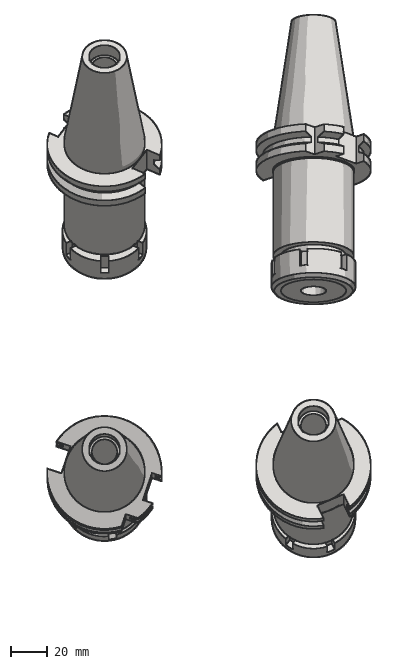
import cadquery as cq
import math

TOTAL_HEIGHT = 158.4

GAUGE_Z = 90.0
GAUGE_RADIUS = 22.3
TAPER_RATIO = 7 / 24
TAPER_TOP_RADIUS = GAUGE_RADIUS - (TOTAL_HEIGHT - GAUGE_Z) * TAPER_RATIO / 2

FLANGE_DIAMETER = 63.5
FLANGE_RADIUS = FLANGE_DIAMETER / 2
FLANGE_TOP = 86.8
FLANGE_BOTTOM = 70.8
GROOVE_RADIUS = 28.0
GROOVE_CENTER_Z = 78.9
GROOVE_FLOOR_WIDTH = 3.0
GROOVE_FLANK_ANGLE = 30.0
GROOVE_FLANK_RISE = (FLANGE_RADIUS - GROOVE_RADIUS) * math.tan(math.radians(GROOVE_FLANK_ANGLE))

KEY_SLOT_WIDTH = 16.0
KEY_SLOT_FLOOR_LEFT = 25.0
KEY_SLOT_FLOOR_RIGHT = 22.5
NOTCH_OFFSET = 18.5

SHANK_RADIUS = GAUGE_RADIUS
SHANK_BOTTOM = 20.6
COLLAR_RADIUS = 22.7
COLLAR_HEIGHT = 0.8
NECK_RADIUS = 18.0

BORE_RADIUS = 7.0
COUNTERBORE_RADIUS = 8.5
COUNTERBORE_DEPTH = 8.2

NUT_RADIUS = 23.3
NUT_HEIGHT = 16.3
NUT_FACE_RADIUS = 21.7
NUT_CHAMFER_HEIGHT = 2.0
NUT_SLOT_COUNT = 6
NUT_SLOT_WIDTH = 4.5
NUT_SLOT_BOTTOM = 6.8
NUT_SLOT_FLOOR_RADIUS = 19.5


def box_between(x_range, y_range, z_range):
    """Box spanning the given (low, high) ranges."""
    (x0, x1), (y0, y1), (z0, z1) = x_range, y_range, z_range
    return cq.Workplane("XY").box(x1 - x0, y1 - y0, z1 - z0, centered=False).translate((x0, y0, z0))


def revolve_profile(points):
    """Solid of revolution about Z from a closed (radius, z) outline."""
    return cq.Workplane("XZ").polyline(points).close().revolve(360, (0, 0, 0), (0, 1, 0))


def holder_blank():
    """Turned holder: neck, shank, grooved flange and taper, still without its bore."""
    floor_low = GROOVE_CENTER_Z - GROOVE_FLOOR_WIDTH / 2
    floor_high = GROOVE_CENTER_Z + GROOVE_FLOOR_WIDTH / 2
    return revolve_profile([
        (0, 0),
        (NECK_RADIUS, 0),
        (NECK_RADIUS, SHANK_BOTTOM),
        (SHANK_RADIUS, SHANK_BOTTOM),
        (SHANK_RADIUS, FLANGE_BOTTOM - COLLAR_HEIGHT),
        (COLLAR_RADIUS, FLANGE_BOTTOM),
        (FLANGE_RADIUS, FLANGE_BOTTOM),
        (FLANGE_RADIUS, floor_low - GROOVE_FLANK_RISE),
        (GROOVE_RADIUS, floor_low),
        (GROOVE_RADIUS, floor_high),
        (FLANGE_RADIUS, floor_high + GROOVE_FLANK_RISE),
        (FLANGE_RADIUS, FLANGE_TOP),
        (GAUGE_RADIUS, FLANGE_TOP),
        (GAUGE_RADIUS, GAUGE_Z),
        (TAPER_TOP_RADIUS, TOTAL_HEIGHT),
        (0, TOTAL_HEIGHT),
    ])


def flange_cutouts():
    """Two drive-key slots of different depth and the square orientation notch."""
    flange_z = (FLANGE_BOTTOM, FLANGE_TOP)
    slot_y = (-KEY_SLOT_WIDTH / 2, KEY_SLOT_WIDTH / 2)
    left_slot = box_between((-FLANGE_RADIUS, -KEY_SLOT_FLOOR_LEFT), slot_y, flange_z)
    right_slot = box_between((KEY_SLOT_FLOOR_RIGHT, FLANGE_RADIUS), slot_y, flange_z)
    notch = box_between((-FLANGE_RADIUS, -NOTCH_OFFSET), (NOTCH_OFFSET, FLANGE_RADIUS), flange_z)
    return left_slot.union(right_slot).union(notch)


def holder_bore():
    """Through bore with a counterbore at the small end of the taper."""
    bore = cq.Workplane("XY").circle(BORE_RADIUS).extrude(TOTAL_HEIGHT)
    counterbore = (
        cq.Workplane("XY", origin=(0, 0, TOTAL_HEIGHT - COUNTERBORE_DEPTH))
        .circle(COUNTERBORE_RADIUS)
        .extrude(COUNTERBORE_DEPTH)
    )
    return bore.union(counterbore)


def make_holder():
    return holder_blank().cut(flange_cutouts()).cut(holder_bore())


def make_nut():
    """Ring around the neck, chamfered at the front, with wrench slots open at the rear face."""
    nut = revolve_profile([
        (NECK_RADIUS, 0),
        (NUT_FACE_RADIUS, 0),
        (NUT_RADIUS, NUT_CHAMFER_HEIGHT),
        (NUT_RADIUS, NUT_HEIGHT),
        (NECK_RADIUS, NUT_HEIGHT),
    ])
    wrench_slot = box_between(
        (NUT_SLOT_FLOOR_RADIUS, NUT_RADIUS),
        (-NUT_SLOT_WIDTH / 2, NUT_SLOT_WIDTH / 2),
        (NUT_SLOT_BOTTOM, NUT_HEIGHT),
    )
    for index in range(NUT_SLOT_COUNT):
        angle = index * 360 / NUT_SLOT_COUNT
        nut = nut.cut(wrench_slot.rotate((0, 0, 0), (0, 0, 1), angle))
    return nut


holder = make_holder()
nut = make_nut()

result = cq.Compound.makeCompound([holder.val(), nut.val()])